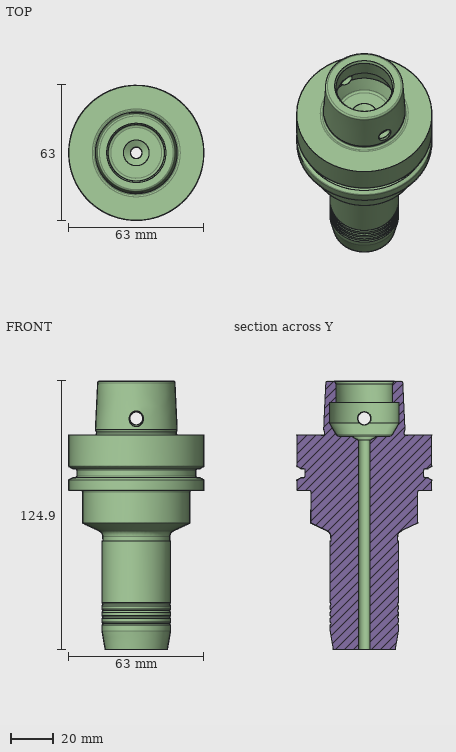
import cadquery as cq
import math


total_height = 124.9
shank_length = 25.0
flange_top = total_height - shank_length
flange_width = 26.0
flange_bottom = flange_top - flange_width
collar_bottom = 58.8
barrel_top = 50.5
tip_height = 8.6

flange_radius = 31.5
collar_radius = 25.0
barrel_radius = 16.0
neck_radius = 15.6
tip_radius = 14.5

shank_top_radius = 18.0
shank_foot_radius = 19.05
shank_foot_height = 102.3
relief_radius = 18.6
relief_height = 101.2
face_groove_floor_radius = 19.6
face_groove_outer_radius = 20.5
face_groove_depth = 0.2

grip_groove_radius = 27.7
grip_groove_height = 82.0
grip_shelf_radius = 29.6
grip_shelf_gap = 4.1
grip_flank_angle = 30.0

collar_cone_angle = 25.0

ring_groove_count = 4
ring_groove_pitch = 3.0
ring_groove_width = 1.5
ring_groove_depth = 0.44
first_ring_groove_height = 21.1

mouth_radius = 13.8
bore_radius = 13.1
mouth_chamfer_depth = 1.2
bore_depth = 10.0
pocket_radius = 16.1
pocket_wall_depth = 19.5
pocket_floor_radius = 12.6
pocket_floor_angle = 60.0
centre_cone_radius = 6.0
centre_cone_angle = 30.0
coolant_radius = 2.6

cross_hole_radius = 3.0
cross_hole_height = 107.5
cross_countersink_depth = 0.6

shank_rim_round = 0.9
edge_round = 0.4
lip_round = 0.5
grip_root_round = 0.7
relief_round = 0.9
collar_root_round = 0.6
neck_round = 3.0
pocket_floor_round = 1.4


def rise(run, angle):
    """Height gained over a radial run at an angle above the horizontal."""
    return run * math.tan(math.radians(angle))


def revolve_profile(points):
    """Turn a closed outline of (radius, height) points about Z."""
    return cq.Workplane("XZ").polyline(points).close().revolve(360, (0, 0), (0, 1))


def round_rings(body, rings, radius):
    """Round the circular edges found at the given (radius, height) places."""
    tolerance = 0.01

    def is_wanted(edge):
        if edge.geomType() != "CIRCLE":
            return False
        height = edge.Center().z
        return any(
            abs(edge.radius() - ring_radius) < tolerance and abs(height - ring_height) < tolerance
            for ring_radius, ring_height in rings
        )

    return body.edges().filter(is_wanted).fillet(radius)


def make_body():
    """Solid outer form from the tip up to the shank rim."""
    flank_height = rise(flange_radius - grip_shelf_radius, grip_flank_angle)
    shelf_top = grip_groove_height + grip_shelf_gap / 2
    shelf_bottom = grip_groove_height - grip_shelf_gap / 2
    lip_top = shelf_top + flank_height
    lip_bottom = shelf_bottom - flank_height
    relief_foot = flange_top - face_groove_depth
    neck_top = collar_bottom - rise(collar_radius - neck_radius, collar_cone_angle)

    body = revolve_profile([
        (0, 0),
        (tip_radius, 0),
        (barrel_radius, tip_height),
        (barrel_radius, barrel_top),
        (neck_radius, barrel_top),
        (neck_radius, neck_top),
        (collar_radius, collar_bottom),
        (collar_radius, flange_bottom),
        (flange_radius, flange_bottom),
        (flange_radius, lip_bottom),
        (grip_shelf_radius, shelf_bottom),
        (grip_groove_radius, shelf_bottom),
        (grip_groove_radius, shelf_top),
        (grip_shelf_radius, shelf_top),
        (flange_radius, lip_top),
        (flange_radius, flange_top),
        (face_groove_outer_radius, flange_top),
        (face_groove_floor_radius, relief_foot),
        (relief_radius, relief_foot),
        (relief_radius, relief_height),
        (shank_foot_radius, shank_foot_height),
        (shank_top_radius, total_height),
        (0, total_height),
    ])

    body = round_rings(body, [(shank_top_radius, total_height)], shank_rim_round)
    body = round_rings(body, [(collar_radius, flange_bottom)], collar_root_round)
    body = round_rings(body, [(neck_radius, neck_top)], neck_round)
    body = round_rings(body, [(relief_radius, relief_foot)], relief_round)
    grip_roots = [(grip_groove_radius, shelf_top), (grip_groove_radius, shelf_bottom)]
    body = round_rings(body, grip_roots, grip_root_round)
    body = round_rings(body, [(flange_radius, lip_top), (flange_radius, lip_bottom)], lip_round)
    sharp_rings = [
        (flange_radius, flange_bottom),
        (collar_radius, collar_bottom),
    ]
    return round_rings(body, sharp_rings, edge_round)


def make_ring_groove(height):
    """V-shaped ring cutter centred at the given height on the barrel."""
    half_width = ring_groove_width / 2
    return revolve_profile([
        (barrel_radius - ring_groove_depth, height),
        (barrel_radius, height + half_width),
        (flange_radius, height + half_width),
        (flange_radius, height - half_width),
        (barrel_radius, height - half_width),
    ])


def make_hollow():
    """Chamfered bore, undercut pocket, centre cone and coolant hole as one cutter."""
    pocket_depth = pocket_wall_depth + rise(pocket_radius - pocket_floor_radius, pocket_floor_angle)
    floor_height = total_height - pocket_depth
    cone_bottom = floor_height - rise(centre_cone_radius - coolant_radius, centre_cone_angle)
    hollow = revolve_profile([
        (0, 0),
        (coolant_radius, 0),
        (coolant_radius, cone_bottom),
        (centre_cone_radius, floor_height),
        (pocket_floor_radius, floor_height),
        (pocket_radius, total_height - pocket_wall_depth),
        (pocket_radius, total_height - bore_depth),
        (bore_radius, total_height - bore_depth),
        (bore_radius, total_height - mouth_chamfer_depth),
        (mouth_radius, total_height),
        (0, total_height),
    ])
    return round_rings(hollow, [(pocket_floor_radius, floor_height)], pocket_floor_round)


def make_cross_hole():
    """Hole along Y through both shank walls, countersunk at each outer mouth."""
    shank_growth = (shank_foot_radius - shank_top_radius) / (total_height - shank_foot_height)
    wall_radius = shank_top_radius + shank_growth * (total_height - cross_hole_height)
    inner_reach = wall_radius - cross_countersink_depth
    outer_reach = shank_foot_radius
    outer_radius = cross_hole_radius + outer_reach - inner_reach
    return (
        cq.Workplane("XY")
        .polyline([
            (0, -outer_reach),
            (outer_radius, -outer_reach),
            (cross_hole_radius, -inner_reach),
            (cross_hole_radius, inner_reach),
            (outer_radius, outer_reach),
            (0, outer_reach),
        ])
        .close()
        .revolve(360, (0, 0), (0, 1))
        .translate((0, 0, cross_hole_height))
    )


result = make_body()
for index in range(ring_groove_count):
    result = result.cut(make_ring_groove(first_ring_groove_height - index * ring_groove_pitch))
result = result.cut(make_hollow())
result = result.cut(make_cross_hole())